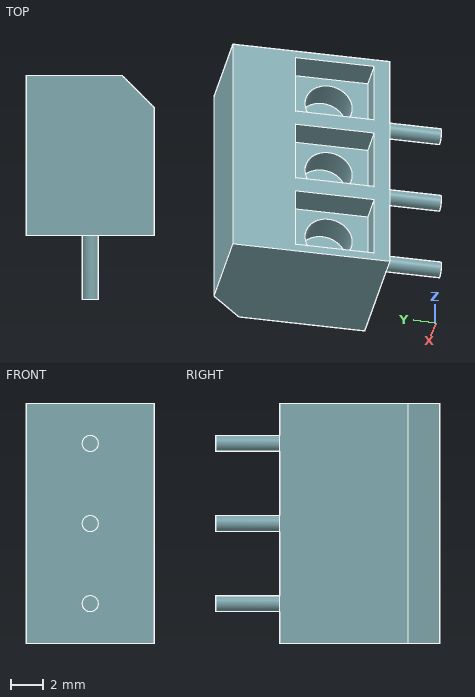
import cadquery as cq

pole_count = 3
body_height = 15.0
pitch = body_height / pole_count
body_width = 8.0
body_depth = 10.0
corner_chamfer = 2.0

pin_diameter = 1.0
pin_length = 3.99

entry_length = 5.0
entry_height = 4.0
entry_front_wall = 1.0
entry_depth = 2.0
bore_diameter = 3.0
bore_depth = 2.0

entry_center_y = entry_front_wall + entry_length / 2
pole_heights = [pitch * (index + 0.5) for index in range(pole_count)]


def make_body():
    """Rectangular housing with its +X +Y edge chamfered."""
    block = cq.Workplane("XY").box(body_width, body_depth, body_height, centered=False)
    return block.edges("|Z and >X and >Y").chamfer(corner_chamfer)


def make_pin(height):
    """Round solder pin standing out from the -Y face."""
    base = cq.Workplane("XZ", origin=(body_width / 2, 0, height))
    return base.circle(pin_diameter / 2).extrude(pin_length)


def make_entry(height):
    """Rectangular wire entry with a round blind bore in its floor."""
    mouth = cq.Workplane("YZ", origin=(0, entry_center_y, height))
    pocket = mouth.rect(entry_length, entry_height).extrude(entry_depth)
    bore = mouth.circle(bore_diameter / 2).extrude(entry_depth + bore_depth)
    return pocket.union(bore)


result = make_body()
for pole_height in pole_heights:
    result = result.cut(make_entry(pole_height))
    result = result.union(make_pin(pole_height))